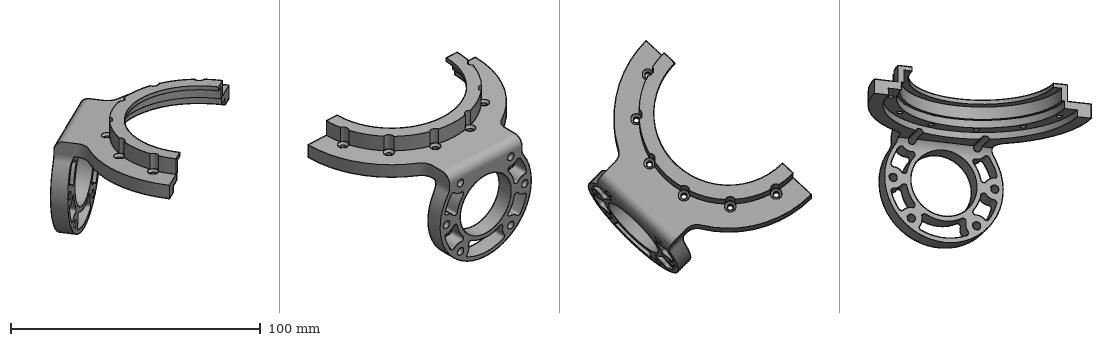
import cadquery as cq
import math


plate_radius = 46.0
plate_thickness = 6.1
rim_radius = 36.0
rim_height = 7.0
neck_width = 39.9
neck_blend_radius = 6.0
back_x = -55.0
back_edge_radius = 4.1

lip_radius = 30.0
lip_height = 1.75
seat_radius = 33.4
seat_bottom = 0.0
guide_radius = 34.6
guide_bottom = -3.2
recess_radius = 40.0

screw_circle_radius = 37.0
screw_diameter = 2.5
screw_head_diameter = 4.5
screw_count = 6
screw_pitch = 180 / screw_count

flange_thickness = 7.2
flange_radius = 25.1
flange_axis_z = -22.9
flange_blend_radius = 5.5
flange_bore_radius = 14.0
gusset_radius = 9.2
gusset_height = 5.0

mount_circle_radius = 21.5
mount_diameter = 3.4
mount_angles = [-130, -50, 0, 50, 130, 180]
window_spans = [(-180, -130), (-130, -50), (-50, 0), (0, 50), (130, 180)]
window_inner_radius = 16.0
window_outer_radius = 23.2
window_clearance = 4.6
window_corner_radius = 1.2


def polar(radius, angle):
    """Point at the given radius and angle (degrees) about the origin."""
    return (radius * math.cos(math.radians(angle)), radius * math.sin(math.radians(angle)))


def toward(start, end, distance):
    """Point at the given distance from start on the line to end."""
    ratio = distance / math.dist(start, end)
    return (start[0] + (end[0] - start[0]) * ratio, start[1] + (end[1] - start[1]) * ratio)


def cylinder(radius, bottom, top):
    """Upright cylinder on the ring axis."""
    return cq.Workplane("XY").workplane(offset=bottom).circle(radius).extrude(top - bottom)


def half_ring():
    """Plate with its neck, plus the raised rim, cut off flat at X = 0."""
    half_width = neck_width / 2
    blend_y = half_width + neck_blend_radius
    blend_x = -math.sqrt((plate_radius + neck_blend_radius) ** 2 - blend_y ** 2)
    tangent_x, tangent_y = toward((0, 0), (blend_x, blend_y), plate_radius)
    plate = (
        cq.Workplane("XY")
        .moveTo(0, -plate_radius)
        .radiusArc((tangent_x, -tangent_y), plate_radius)
        .radiusArc((blend_x, -half_width), -neck_blend_radius)
        .lineTo(back_x, -half_width)
        .lineTo(back_x, half_width)
        .lineTo(blend_x, half_width)
        .radiusArc((tangent_x, tangent_y), -neck_blend_radius)
        .radiusArc((0, plate_radius), plate_radius)
        .close()
        .extrude(-plate_thickness)
    )
    left_half = cq.Workplane("XY").box(
        rim_radius, 2 * rim_radius, rim_height, centered=(False, True, False)
    ).translate((-rim_radius, 0, 0))
    return plate.union(cylinder(rim_radius, 0, rim_height).intersect(left_half))


def flange_outline():
    """Front shape of the flange: a disc blended into the straight sides of the neck."""
    half_width = neck_width / 2
    blend_y = half_width + flange_blend_radius
    blend_rise = math.sqrt((flange_radius + flange_blend_radius) ** 2 - blend_y ** 2)
    blend_z = flange_axis_z + blend_rise
    tangent_y, tangent_z = toward((0, flange_axis_z), (blend_y, blend_z), flange_radius)
    return (
        cq.Workplane("YZ", origin=(back_x, 0, 0))
        .moveTo(-half_width, 0)
        .lineTo(half_width, 0)
        .lineTo(half_width, blend_z)
        .radiusArc((tangent_y, tangent_z), -flange_blend_radius)
        .threePointArc((0, flange_axis_z - flange_radius), (-tangent_y, tangent_z))
        .radiusArc((-half_width, blend_z), -flange_blend_radius)
        .close()
        .extrude(-back_x)
    )


def flange():
    """Flange of constant thickness that thickens in a concave arc below the plate."""
    inner_x = back_x + flange_thickness
    gusset_x = inner_x + gusset_radius - math.sqrt(gusset_radius ** 2 - gusset_height ** 2)
    side_profile = (
        cq.Workplane("XZ")
        .moveTo(back_x, 0)
        .lineTo(back_x, flange_axis_z - flange_radius)
        .lineTo(inner_x, flange_axis_z - flange_radius)
        .lineTo(inner_x, -plate_thickness - gusset_height)
        .radiusArc((gusset_x, -plate_thickness), gusset_radius)
        .lineTo(gusset_x, 0)
        .close()
        .extrude(flange_radius, both=True)
    )
    return side_profile.intersect(flange_outline())


def ring_bore():
    """Stepped bore that widens towards the underside."""
    return (
        cylinder(lip_radius, -plate_thickness, rim_height)
        .union(cylinder(seat_radius, -plate_thickness, rim_height - lip_height))
        .union(cylinder(guide_radius, -plate_thickness, seat_bottom))
        .union(cylinder(recess_radius, -plate_thickness, guide_bottom))
    )


def ring_screw(angle):
    """Screw hole with a 90 degree countersink and head clearance up through the rim."""
    head_radius = screw_head_diameter / 2
    hole_radius = screw_diameter / 2
    tool = (
        cq.Workplane("XZ")
        .moveTo(0, -plate_thickness)
        .lineTo(hole_radius, -plate_thickness)
        .lineTo(hole_radius, hole_radius - head_radius)
        .lineTo(head_radius, 0)
        .lineTo(head_radius, rim_height)
        .lineTo(0, rim_height)
        .close()
        .revolve(360, (0, 0, 0), (0, 1, 0))
    )
    x, y = polar(screw_circle_radius, angle)
    return tool.translate((x, y, 0))


def window(start_angle, end_angle):
    """Window between two mounting holes, keeping a round wall about each hole."""
    fillet = window_corner_radius
    reach = window_clearance + fillet
    inner_centre_radius = window_inner_radius + fillet
    outer_centre_radius = window_outer_radius - fillet

    def offset_angle(radius):
        """Angle from a mounting hole to a corner centre lying at this radius."""
        cosine = (radius ** 2 + mount_circle_radius ** 2 - reach ** 2) / (2 * radius * mount_circle_radius)
        return math.degrees(math.acos(cosine))

    def corner(hole_angle, side, centre_radius, edge_radius):
        """Corner arc's ends: on the window's round edge and on the wall about the hole."""
        angle = hole_angle + side * offset_angle(centre_radius)
        centre = polar(centre_radius, angle)
        hole = polar(mount_circle_radius, hole_angle)
        return polar(edge_radius, angle), toward(hole, centre, window_clearance)

    inner = (inner_centre_radius, window_inner_radius)
    outer = (outer_centre_radius, window_outer_radius)
    inner_start, wall_start_in = corner(start_angle, 1, *inner)
    outer_start, wall_start_out = corner(start_angle, 1, *outer)
    inner_end, wall_end_in = corner(end_angle, -1, *inner)
    outer_end, wall_end_out = corner(end_angle, -1, *outer)
    return (
        cq.Workplane("YZ", origin=(back_x, 0, flange_axis_z))
        .moveTo(*inner_start)
        .radiusArc(wall_start_in, -fillet)
        .radiusArc(wall_start_out, window_clearance)
        .radiusArc(outer_start, -fillet)
        .radiusArc(outer_end, -window_outer_radius)
        .radiusArc(wall_end_out, -fillet)
        .radiusArc(wall_end_in, window_clearance)
        .radiusArc(inner_end, -fillet)
        .radiusArc(inner_start, window_inner_radius)
        .close()
        .extrude(-back_x)
    )


def flange_holes():
    """Central bore and mounting holes; the upper holes run on through the plate."""
    return (
        cq.Workplane("YZ", origin=(back_x, 0, flange_axis_z))
        .circle(flange_bore_radius)
        .pushPoints([polar(mount_circle_radius, angle) for angle in mount_angles])
        .circle(mount_diameter / 2)
        .extrude(-back_x)
    )


body = half_ring().union(flange())
body = body.edges(cq.selectors.NearestToPointSelector((back_x, 0, 0))).fillet(back_edge_radius)
body = body.cut(ring_bore())
for index in range(screw_count):
    body = body.cut(ring_screw(90 + (index + 0.5) * screw_pitch))
for span in window_spans:
    body = body.cut(window(*span))
result = body.cut(flange_holes())